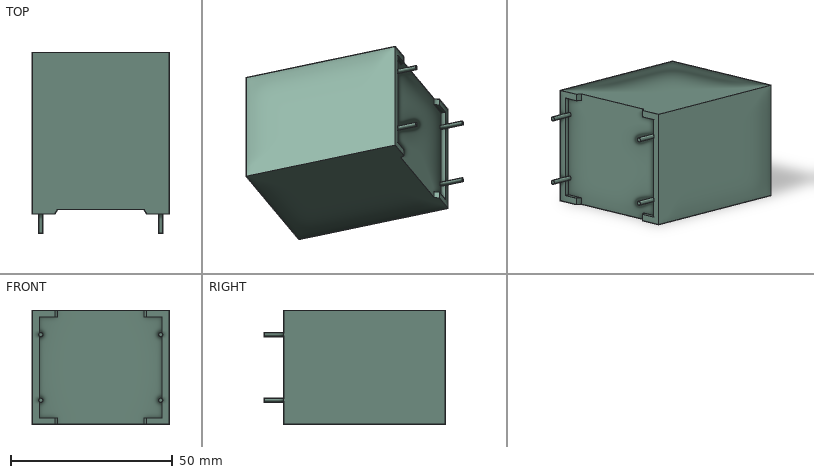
import cadquery as cq

width = 42.6
height = 35.4
total_length = 56.2
terminal_reach = 6.0
block_length = total_length - terminal_reach

rim_depth = 1.4
side_wall = 2.25
top_wall = 2.1

gap_front_half_width = width / 2 - 7.0
gap_back_half_width = width / 2 - 7.9

terminal_diameter = 1.3
terminal_spacing_x = 37.2
terminal_spacing_z = 20.35
terminal_length = rim_depth + terminal_reach


def make_block():
    """Solid block with a front recess and a trapezoidal gap in the rim."""
    block = cq.Workplane("XY").box(width, block_length, height).translate((0, block_length / 2, 0))
    recess = (
        cq.Workplane("XY")
        .box(width - 2 * side_wall, rim_depth, height - 2 * top_wall)
        .translate((0, rim_depth / 2, 0))
    )
    gap = (
        cq.Workplane("XY")
        .polyline([
            (-gap_front_half_width, 0),
            (gap_front_half_width, 0),
            (gap_back_half_width, rim_depth),
            (-gap_back_half_width, rim_depth),
        ])
        .close()
        .extrude(height / 2, both=True)
    )
    return block.cut(recess).cut(gap)


def make_terminal(x_side, z_side):
    """Round wire standing on the recess floor, partly sunk into the side wall."""
    base = cq.Vector(x_side * terminal_spacing_x / 2, rim_depth, z_side * terminal_spacing_z / 2)
    toward_front = cq.Vector(0, -1, 0)
    return cq.Solid.makeCylinder(terminal_diameter / 2, terminal_length, base, toward_front)


separate_corners = [(-1, -1), (-1, 1), (1, 1)]
terminals = [make_terminal(x_side, z_side) for x_side, z_side in separate_corners]

housing = make_block().union(cq.Workplane(make_terminal(1, -1)))
for terminal in terminals:
    housing = housing.cut(cq.Workplane(terminal))

result = cq.Compound.makeCompound([housing.solids().val(), *terminals])